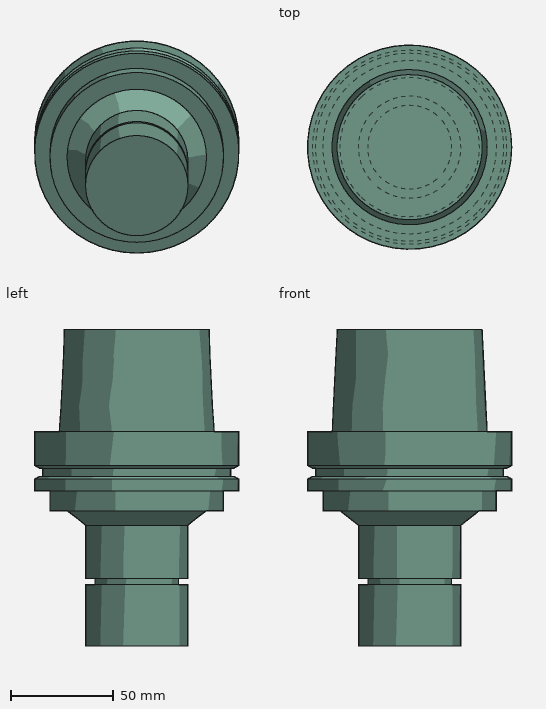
import cadquery as cq

TOTAL_HEIGHT = 155.0

TAPER_HEIGHT = 50.0
TAPER_TOP_DIAMETER = 71.0
TAPER_BASE_DIAMETER = 76.0

FLANGE_DIAMETER = 100.0
FLANGE_HEIGHT = 29.0
FLANGE_GROOVE_DIAMETER = 92.0
FLANGE_GROOVE_WIDTH = 3.9
FLANGE_GROOVE_BASE = 7.1
GROOVE_CHAMFER_HEIGHT = 1.4
GROOVE_CHAMFER_DEPTH = 2.5

COLLAR_DIAMETER = 85.0
COLLAR_HEIGHT = 9.8

SHOULDER_DIAMETER = 68.2
SHOULDER_HEIGHT = 7.1
SHANK_DIAMETER = 50.0
SHANK_GROOVE_DIAMETER = 41.0
SHANK_GROOVE_BASE = 30.0
SHANK_GROOVE_WIDTH = 3.0

flange_top = TOTAL_HEIGHT - TAPER_HEIGHT
flange_base = flange_top - FLANGE_HEIGHT
collar_base = flange_base - COLLAR_HEIGHT


def revolve_profile(points):
    """Revolve a closed (radius, height) outline about the Z axis."""
    return cq.Workplane("XZ").polyline(points).close().revolve(360, (0, 0, 0), (0, 1, 0))


def make_holder():
    """Taper, grooved flange and collar, ending on the flat face of the collar."""
    flange_radius = FLANGE_DIAMETER / 2
    groove_radius = FLANGE_GROOVE_DIAMETER / 2
    collar_radius = COLLAR_DIAMETER / 2
    lip_radius = flange_radius - GROOVE_CHAMFER_DEPTH
    groove_base = flange_base + FLANGE_GROOVE_BASE
    groove_top = groove_base + FLANGE_GROOVE_WIDTH
    return revolve_profile([
        (0, collar_base),
        (collar_radius, collar_base),
        (collar_radius, flange_base),
        (flange_radius, flange_base),
        (flange_radius, groove_base - GROOVE_CHAMFER_HEIGHT),
        (lip_radius, groove_base),
        (groove_radius, groove_base),
        (groove_radius, groove_top),
        (lip_radius, groove_top),
        (flange_radius, groove_top + GROOVE_CHAMFER_HEIGHT),
        (flange_radius, flange_top),
        (TAPER_BASE_DIAMETER / 2, flange_top),
        (TAPER_TOP_DIAMETER / 2, TOTAL_HEIGHT),
        (0, TOTAL_HEIGHT),
    ])


def make_shank():
    """Grooved cylinder widening through a conical shoulder to meet the collar."""
    shank_radius = SHANK_DIAMETER / 2
    groove_radius = SHANK_GROOVE_DIAMETER / 2
    groove_top = SHANK_GROOVE_BASE + SHANK_GROOVE_WIDTH
    return revolve_profile([
        (0, 0),
        (shank_radius, 0),
        (shank_radius, SHANK_GROOVE_BASE),
        (groove_radius, SHANK_GROOVE_BASE),
        (groove_radius, groove_top),
        (shank_radius, groove_top),
        (shank_radius, collar_base - SHOULDER_HEIGHT),
        (SHOULDER_DIAMETER / 2, collar_base),
        (0, collar_base),
    ])


holder = make_holder()
shank = make_shank()

result = cq.Compound.makeCompound([holder.val(), shank.val()])